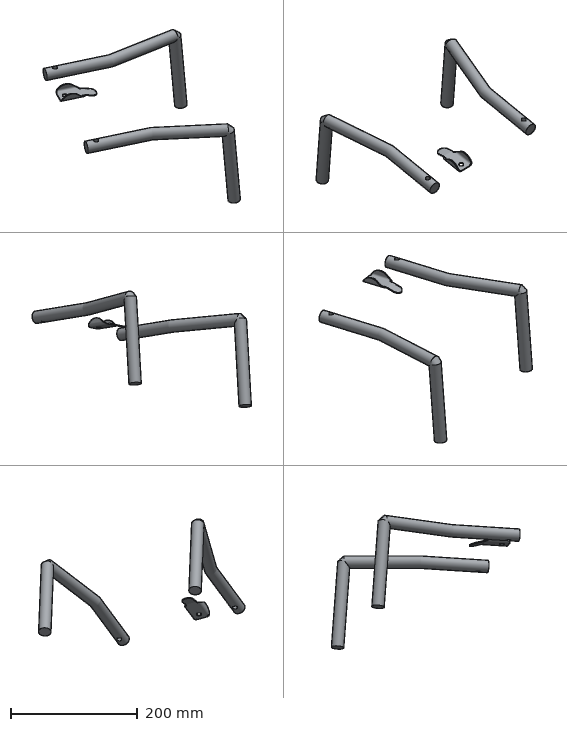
import cadquery as cq
import math

BAR_DIAMETER = 20.0
BAR_RADIUS = BAR_DIAMETER / 2
OVERALL_WIDTH = 280.0
SPLAY_OFFSET = 30.0
ELBOW_X = OVERALL_WIDTH / 2 - BAR_RADIUS
GRIP_X = ELBOW_X - SPLAY_OFFSET
BEND_Y = 109.2
ELBOW_Y = 226.2
OVERALL_HEIGHT = 154.3
HOLE_DIAMETER = 7.5
HANDLE_HOLE_Y = 16.5
LEG_TILT = 4.2

CLIP_X = -35.42
CLIP_WIDTH = 28.8
SHEET = 2.0
FLOOR_WIDTH = 18.2
BEND_OUTER_RADIUS = (CLIP_WIDTH - FLOOR_WIDTH) / 2
CLIP_BOTTOM_Z = 0.8
CLIP_TOP_Z = 13.7
FLOOR_LENGTH = 42.0
TONGUE_TIP_Y = 63.5
TONGUE_DROP = 6.2
DOME_CENTER_Y = 16.8
DOME_RADIUS = 17.0
SHOULDER_Y = 28.5
WALL_BACK_Y = 41.2
HOLLOW_DEPTH = 0.7
CLIP_HOLE_Y = 11.0

LEG_BOTTOM_Z = CLIP_TOP_Z - OVERALL_HEIGHT
TILT = math.radians(LEG_TILT)
LEG_LENGTH = (-LEG_BOTTOM_Z - BAR_RADIUS * math.sin(TILT)) / math.cos(TILT)


def elbow_wedge(corner, run_up, leg_back):
    """Fill the outer side of the elbow between the two bar end faces."""
    across = run_up.cross(leg_back).normalized()
    outward = (run_up + leg_back).normalized()
    half_angle = run_up.getAngle(leg_back) / 2
    ruling = across.cross(outward)
    reach = 2 * BAR_RADIUS

    section = cq.Plane(corner - ruling * reach, across, ruling)
    shell = (
        cq.Workplane(section)
        .ellipse(BAR_RADIUS, BAR_RADIUS * math.cos(half_angle))
        .extrude(2 * reach)
    )
    side = cq.Plane(corner, run_up, across)
    wedge = (
        cq.Workplane(side)
        .polyline([side.toLocalCoords(point) for point in (
            corner,
            corner + run_up * reach,
            corner + leg_back * reach,
        )])
        .close()
        .extrude(reach, both=True)
    )
    return shell.intersect(wedge)


def make_handle(side):
    """Build one handle; side is -1 for the -X handle and +1 for the +X one."""
    start = cq.Vector(side * GRIP_X, 0, 0)
    bend = cq.Vector(side * GRIP_X, BEND_Y, 0)
    elbow = cq.Vector(side * ELBOW_X, ELBOW_Y, 0)
    leg_direction = cq.Vector(0, math.sin(TILT), -math.cos(TILT))
    run_direction = (elbow - bend).normalized()

    path = cq.Workplane("XY").polyline([start.toTuple(), bend.toTuple(), elbow.toTuple()])
    bar = (
        cq.Workplane("XZ", origin=start.toTuple())
        .circle(BAR_RADIUS)
        .sweep(path, transition="right")
    )
    leg = cq.Workplane(cq.Solid.makeCylinder(BAR_RADIUS, LEG_LENGTH, elbow, leg_direction))

    across = run_direction.cross(leg_direction).normalized()
    run_up = across.cross(run_direction)
    leg_back = across.cross(leg_direction)
    if run_up.z < 0:
        run_up = run_up * -1
    if leg_back.y < 0:
        leg_back = leg_back * -1
    bar = bar.union(leg).union(elbow_wedge(elbow, run_up, leg_back))

    hole = (
        cq.Workplane("XY", origin=(side * GRIP_X, HANDLE_HOLE_Y, -BAR_DIAMETER))
        .circle(HOLE_DIAMETER / 2)
        .extrude(2 * BAR_DIAMETER)
    )
    return bar.cut(hole)


def make_channel():
    """U-shaped channel whose side walls are trimmed to a dome with a hollow back."""
    height = CLIP_TOP_Z - CLIP_BOTTOM_Z
    outer = (
        cq.Workplane("XY")
        .box(CLIP_WIDTH, FLOOR_LENGTH, height, centered=(True, False, False))
        .edges("|Y and <Z")
        .fillet(BEND_OUTER_RADIUS)
    )
    inner = (
        cq.Workplane("XY", origin=(0, 0, SHEET))
        .box(CLIP_WIDTH - 2 * SHEET, FLOOR_LENGTH, height, centered=(True, False, False))
        .edges("|Y and <Z")
        .fillet(BEND_OUTER_RADIUS - SHEET)
    )
    center_z = height - DOME_RADIUS
    half_base = math.sqrt(DOME_RADIUS**2 - center_z**2)
    shoulder = (
        SHOULDER_Y,
        center_z + math.sqrt(DOME_RADIUS**2 - (SHOULDER_Y - DOME_CENTER_Y) ** 2),
    )
    hollow_middle = (
        (shoulder[0] + WALL_BACK_Y) / 2,
        shoulder[1] / 2 - HOLLOW_DEPTH,
    )
    dome = (
        cq.Workplane("YZ", origin=(-CLIP_WIDTH / 2, 0, 0))
        .moveTo(WALL_BACK_Y, 0)
        .threePointArc(hollow_middle, shoulder)
        .threePointArc((DOME_CENTER_Y, height), (DOME_CENTER_Y - half_base, 0))
        .close()
        .extrude(CLIP_WIDTH)
    )
    floor = cq.Workplane("XY").box(FLOOR_WIDTH, FLOOR_LENGTH, SHEET, centered=(True, False, False))
    return outer.cut(inner).intersect(dome).union(floor)


def make_tongue():
    """Sloping strip behind the channel floor, with a round tip in plan."""
    tip_radius = FLOOR_WIDTH / 2
    strip = (
        cq.Workplane("YZ", origin=(-tip_radius, 0, 0))
        .moveTo(FLOOR_LENGTH, 0)
        .lineTo(TONGUE_TIP_Y, -TONGUE_DROP)
        .lineTo(TONGUE_TIP_Y, SHEET - TONGUE_DROP)
        .lineTo(FLOOR_LENGTH, SHEET)
        .close()
        .extrude(FLOOR_WIDTH)
    )
    plan = (
        cq.Workplane("XY", origin=(0, 0, -TONGUE_DROP))
        .moveTo(-tip_radius, 0)
        .lineTo(tip_radius, 0)
        .lineTo(tip_radius, TONGUE_TIP_Y - tip_radius)
        .threePointArc((0, TONGUE_TIP_Y), (-tip_radius, TONGUE_TIP_Y - tip_radius))
        .close()
        .extrude(TONGUE_DROP + SHEET)
    )
    return strip.intersect(plan)


def make_clip():
    hole = (
        cq.Workplane("XY", origin=(0, CLIP_HOLE_Y, 0))
        .circle(HOLE_DIAMETER / 2)
        .extrude(SHEET)
    )
    clip = make_channel().union(make_tongue()).cut(hole)
    return clip.translate((CLIP_X, 0, CLIP_BOTTOM_Z))


handles = [make_handle(side) for side in (-1, 1)]
clip = make_clip()

result = cq.Compound.makeCompound([*(handle.val() for handle in handles), clip.val()])